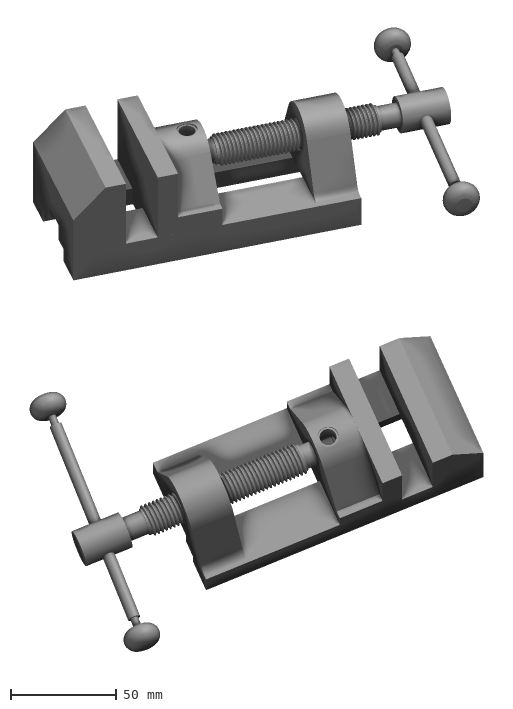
import cadquery as cq
import math


width = 63.8
boss_radius = 16.0
screw_z = 36.0
jaw_top = screw_z + boss_radius

base_length = 143.7
base_height = 16.0
fixed_jaw_length = 26.2
jaw_chamfer = 16.0
post_length = 21.7
post_front = base_length - post_length
post_foot = 26.8
post_fillet = 4.9
slot_width = 15.9
channel_width = 32.1
channel_height = 7.2

jaw_opening = 15.9
jaw_plate_length = 10.2
jaw_block_length = 22.1
jaw_pad_height = 9.8
jaw_foot = 28.2
plate_front = fixed_jaw_length + jaw_opening
block_front = plate_front + jaw_plate_length
block_back = block_front + jaw_block_length
set_hole_diameter = 8.0
set_bore_diameter = 10.0
set_bore_depth = 1.2
set_hole_y = 66.8

hub_diameter = 18.0
hub_length = 23.9
hub_back = 195.8
hub_front = hub_back - hub_length
shank_diameter = 12.0
neck_length = 10.0
thread_length = 82.0
thread_turns = 41
thread_pitch = thread_length / thread_turns
thread_diameter = 15.9
thread_core_diameter = 13.5
thread_overlap = 0.2
root_flat = 0.08
root_width = thread_pitch - root_flat
crest_width = 0.4
thread_back = hub_front - neck_length
thread_front = thread_back - thread_length
post_bore_diameter = 16.0
groove_diameter = 8.0
groove_width = 6.0
groove_front = set_hole_y - groove_width / 2
groove_back = groove_front + groove_width
tip_length = 5.0
tip_front = groove_front - tip_length

handle_angle = -2.2
handle_y = hub_back - hub_length / 2
handle_offset = 9.4
bar_diameter = 6.0
bar_length = 103.8
bar_neck_diameter = 4.0
bar_neck_length = 4.9
knob_diameter = 18.0
knob_width = 10.5
knob_flat_diameter = 8.0


def box(x_size, y_min, y_max, z_min, z_max):
    """Block centered on X = 0 between the given Y and Z limits."""
    block = cq.Workplane("XY").box(x_size, y_max - y_min, z_max - z_min, centered=(True, False, False))
    return block.translate((0, y_min, z_min))


def screw_rod(diameter, y_min, y_max):
    """Cylinder on the screw axis between two Y positions."""
    circle = cq.Workplane("XZ", origin=(0, y_min, screw_z)).circle(diameter / 2)
    return circle.extrude(y_min - y_max)


def boss(foot_x, foot_z, y_min, y_max):
    """Round boss about the screw axis, with flanks that run tangent to it from two feet."""
    drop = screw_z - foot_z
    tangent_angle = math.acos(boss_radius / math.hypot(foot_x, drop)) - math.atan2(drop, foot_x)
    tangent_x = boss_radius * math.cos(tangent_angle)
    tangent_z = screw_z + boss_radius * math.sin(tangent_angle)
    outline = (
        cq.Workplane("XZ", origin=(0, y_min, 0))
        .moveTo(-foot_x, foot_z)
        .lineTo(foot_x, foot_z)
        .lineTo(tangent_x, tangent_z)
        .threePointArc((0, jaw_top), (-tangent_x, tangent_z))
        .close()
    )
    return outline.extrude(y_min - y_max)


def on_handle(part):
    """Turn a part built along X about the origin into its place on the handle."""
    return part.rotate((0, 0, 0), (0, 0, 1), handle_angle).translate((0, handle_y, screw_z))


def make_base():
    side_outline = [
        (0, 0),
        (base_length, 0),
        (base_length, base_height),
        (fixed_jaw_length, base_height),
        (fixed_jaw_length, jaw_top),
        (jaw_chamfer, jaw_top),
        (0, jaw_top - jaw_chamfer),
    ]
    body = cq.Workplane("YZ").polyline(side_outline).close().extrude(width / 2, both=True)
    body = body.union(boss(post_foot, base_height, post_front, base_length))

    for side in (-1, 1):
        foot = (side * post_foot, base_length - post_length / 2, base_height)
        body = body.edges(cq.selectors.NearestToPointSelector(foot)).fillet(post_fillet)

    body = body.cut(box(slot_width, 0, base_length, 0, base_height))
    body = body.cut(box(channel_width, 0, base_length, 0, channel_height))
    return body.cut(screw_rod(post_bore_diameter, post_front, base_length))


def make_moving_jaw():
    pad_top = base_height + jaw_pad_height
    body = box(width, plate_front, block_front, base_height, jaw_top)
    body = body.union(box(width, block_front, block_back, base_height, pad_top))
    body = body.union(boss(jaw_foot, pad_top, block_front, block_back))

    body = body.union(box(slot_width, plate_front, block_back, channel_height, base_height))

    body = body.cut(screw_rod(shank_diameter, tip_front, block_back))

    top = cq.Workplane("XY", origin=(0, set_hole_y, jaw_top))
    body = body.cut(top.circle(set_bore_diameter / 2).extrude(-set_bore_depth))
    return body.cut(top.circle(set_hole_diameter / 2).extrude(screw_z - jaw_top))


def make_thread():
    """Right-handed helical ridge, slightly sunk into the thread core."""
    inner = thread_core_diameter / 2 - thread_overlap
    outer = thread_diameter / 2
    helix = cq.Wire.makeHelix(thread_pitch, thread_length - root_width, inner)
    ridge = (
        cq.Workplane("XZ")
        .polyline(
            [
                (inner, -root_width / 2),
                (outer, -crest_width / 2),
                (outer, crest_width / 2),
                (inner, root_width / 2),
            ]
        )
        .close()
        .sweep(cq.Workplane(helix), isFrenet=True)
    )
    ridge = ridge.rotate((0, 0, 0), (0, 0, 1), -90).rotate((0, 0, 0), (1, 0, 0), 90)
    return ridge.translate((0, thread_back - root_width / 2, screw_z))


def make_screw():
    body = screw_rod(hub_diameter, hub_front, hub_back)
    body = body.union(screw_rod(shank_diameter, thread_back, hub_front))
    body = body.union(screw_rod(thread_core_diameter, thread_front, thread_back))
    body = body.union(make_thread())

    body = body.union(screw_rod(shank_diameter, groove_back, thread_front))
    body = body.union(screw_rod(groove_diameter, groove_front, groove_back))
    body = body.union(screw_rod(shank_diameter, tip_front, groove_front))

    cross_hole = cq.Workplane("YZ").circle(bar_diameter / 2).extrude(hub_diameter, both=True)
    return body.cut(on_handle(cross_hole))


def make_handle_bar():
    neck_span = bar_length / 2 + bar_neck_length
    bar = cq.Workplane("YZ").circle(bar_diameter / 2).extrude(bar_length / 2, both=True)
    neck_rod = cq.Workplane("YZ").circle(bar_neck_diameter / 2).extrude(neck_span, both=True)
    return on_handle(bar.union(neck_rod).translate((handle_offset, 0, 0)))


def make_knob(side):
    """Knob with flat faces and a rounded rim, butting against one neck of the bar."""
    flat_radius = knob_flat_diameter / 2
    knob = (
        cq.Workplane("XY")
        .moveTo(-knob_width / 2, 0)
        .lineTo(-knob_width / 2, flat_radius)
        .threePointArc((0, knob_diameter / 2), (knob_width / 2, flat_radius))
        .lineTo(knob_width / 2, 0)
        .close()
        .revolve(360, (0, 0, 0), (1, 0, 0))
    )
    reach = bar_length / 2 + bar_neck_length + knob_width / 2
    return on_handle(knob.translate((handle_offset + side * reach, 0, 0)))


base = make_base()
moving_jaw = make_moving_jaw()
screw = make_screw()
handle_bar = make_handle_bar()
knobs = [make_knob(side) for side in (-1, 1)]

result = cq.Compound.makeCompound(
    [base.val(), moving_jaw.val(), screw.val(), handle_bar.val(), *[knob.val() for knob in knobs]]
)